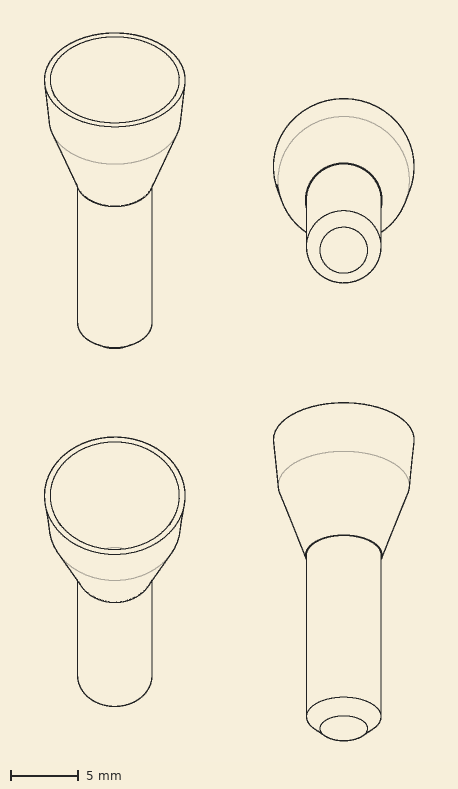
import cadquery as cq

total_height = 25.0
cup_height = 4.0
cone_height = 6.0
tip_height = 1.0
cup_base_z = total_height - cup_height
cone_base_z = cup_base_z - cone_height

rim_diameter = 10.38
cup_base_diameter = 9.68
cone_base_diameter = 5.65
stem_diameter = 5.5
tip_diameter = 3.5

mouth_diameter = 9.5
throat_diameter = 4.08
bore_end_diameter = 3.5
floor_diameter = 2.7
floor_thickness = 1.0
floor_taper_height = 0.5
bore_base_z = floor_thickness + floor_taper_height


def turned(profile):
    """Revolve (diameter, height) stations about the Z axis."""
    bottom_z = profile[0][1]
    top_z = profile[-1][1]
    edge = [(diameter / 2, z) for diameter, z in profile]
    outline = [(0, bottom_z)] + edge + [(0, top_z)]
    return cq.Workplane("XZ").polyline(outline).close().revolve(360, (0, 0), (0, 1))


body = turned([
    (tip_diameter, 0),
    (stem_diameter, tip_height),
    (stem_diameter, cone_base_z),
    (cone_base_diameter, cone_base_z),
    (cup_base_diameter, cup_base_z),
    (rim_diameter, total_height),
])

recess = turned([
    (floor_diameter, floor_thickness),
    (bore_end_diameter, bore_base_z),
    (throat_diameter, cone_base_z),
    (mouth_diameter, total_height),
])

result = body.cut(recess)